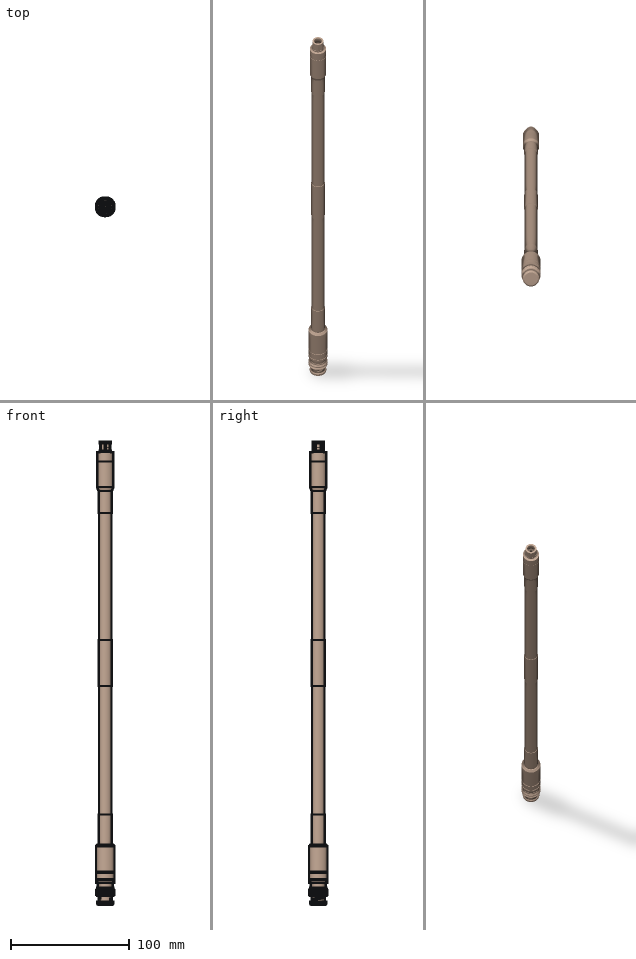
import cadquery as cq

overall_length = 390.76
tip_chamfer_top = 1.1
plug_head_top = 3.0
neck_top = 7.65
flange_bottom = 8.8
lower_rim_top = 9.4
rim_groove_middle = 10.35
upper_rim_bottom = 11.5
upper_rim_top = 12.4
shoulder_bottom = 13.5
shoulder_top = 14.7
nut_bottom = 18.6
grip_ring_bottom = 20.6
grip_ring_top = 27.0
ring_groove_height = 1.2
nut_top = 50.9
lower_sleeve_top = 76.2
label_bottom = 184.6
label_top = 223.4
upper_sleeve_bottom = 330.6
grip_bottom = 349.3
grip_shoulder = 352.5
grip_step = 374.0
grip_top = 381.9
hex_flats_bottom = 383.1
hex_flats_top = 389.0

cable_radius = 5.3
sleeve_radius = 5.7
nut_radius = 8.0
nut_top_radius = 6.4
nut_groove_radius = 7.6
stem_radius = 6.5
shoulder_radius = 6.9
rim_groove_radius = 6.9
neck_radius = 5.7
plug_head_radius = 7.0
tip_radius = 5.8
grip_radius = 6.95
grip_nose_radius = 6.8
hex_end_radius = 4.65
hex_socket_radius = 3.2
hex_socket_bore_radius = 1.4

hex_flat_count = 6
hex_across_flats = 8.6
hex_socket_depth = 5.0
hex_socket_bore_depth = 7.0

slot_count = 2
slot_height = 1.2
slot_depth = 1.6
slot_middle = 5.6
slot_slope = 13.0

nut_shoulder = nut_top - (nut_radius - nut_top_radius)


def revolved(outline):
    """Turn a closed outline of (radius, height) points about Z."""
    return cq.Workplane("XZ").polyline(outline).close().revolve(360, (0, 0, 0), (0, 1, 0))


def cylinder(radius, bottom, top):
    return cq.Workplane("XY").workplane(offset=bottom).circle(radius).extrude(top - bottom)


def make_cable():
    return cylinder(cable_radius, nut_top, grip_bottom)


def make_sleeve(bottom, top):
    """Thin tube that fits closely around the cable."""
    return cylinder(sleeve_radius, bottom, top).cut(cylinder(cable_radius, bottom, top))


def bayonet_slot(angle):
    """Slanted cutter on the -X side of the neck, turned about Z by the angle."""
    length = 4 * neck_radius
    outward = neck_radius
    cutter = cq.Workplane("XY").box(outward, length, slot_height)
    cutter = cutter.rotate((0, 0, 0), (1, 0, 0), -slot_slope)
    cutter = cutter.translate((slot_depth - neck_radius - outward / 2, 0, slot_middle))
    limits = cylinder(nut_radius, plug_head_top, neck_top)
    return cutter.intersect(limits).rotate((0, 0, 0), (0, 0, 1), angle)


def make_lower_fitting():
    """Plug with head, neck, double rim and grooved nut."""
    fitting = revolved([
        (0, 0),
        (tip_radius, 0),
        (plug_head_radius, tip_chamfer_top),
        (plug_head_radius, plug_head_top),
        (neck_radius, plug_head_top),
        (neck_radius, neck_top),
        (shoulder_radius, neck_top),
        (nut_radius, flange_bottom),
        (nut_radius, lower_rim_top),
        (rim_groove_radius, rim_groove_middle),
        (nut_radius, upper_rim_bottom),
        (nut_radius, upper_rim_top),
        (shoulder_radius, shoulder_bottom),
        (shoulder_radius, shoulder_top),
        (stem_radius, shoulder_top),
        (stem_radius, nut_bottom),
        (nut_radius, nut_bottom),
        (nut_radius, nut_shoulder),
        (nut_top_radius, nut_top),
        (0, nut_top),
    ])
    for groove_bottom in (grip_ring_bottom, grip_ring_top):
        groove_top = groove_bottom + ring_groove_height
        groove = cylinder(2 * nut_radius, groove_bottom, groove_top)
        fitting = fitting.cut(groove.cut(cylinder(nut_groove_radius, groove_bottom, groove_top)))
    for slot in range(slot_count):
        fitting = fitting.cut(bayonet_slot(slot * 360 / slot_count))
    return fitting


def make_hex_end():
    """Round stub with six flats between its end rims and a stepped socket in its top."""
    stub = cylinder(hex_end_radius, grip_top, overall_length)
    flats = cq.Workplane("XY").workplane(offset=hex_flats_bottom)
    flats = flats.polygon(hex_flat_count, hex_across_flats, circumscribed=True)
    flats = flats.extrude(hex_flats_top - hex_flats_bottom)
    around_flats = cylinder(2 * hex_end_radius, hex_flats_bottom, hex_flats_top).cut(flats)
    socket = cylinder(hex_socket_radius, overall_length - hex_socket_depth, overall_length)
    bore = cylinder(hex_socket_bore_radius, overall_length - hex_socket_bore_depth, overall_length)
    return stub.cut(around_flats).cut(socket).cut(bore)


def make_upper_fitting():
    """Round grip with a slightly slimmer nose that carries the hexagonal end."""
    grip = revolved([
        (0, grip_bottom),
        (sleeve_radius, grip_bottom),
        (grip_radius, grip_shoulder),
        (grip_radius, grip_step),
        (grip_nose_radius, grip_step),
        (grip_nose_radius, grip_top),
        (0, grip_top),
    ])
    return grip.union(make_hex_end())


cable = make_cable()
lower_fitting = make_lower_fitting()
upper_fitting = make_upper_fitting()
sleeve_spans = [
    (nut_top, lower_sleeve_top),
    (label_bottom, label_top),
    (upper_sleeve_bottom, grip_bottom),
]
sleeves = [make_sleeve(bottom, top).val() for bottom, top in sleeve_spans]

result = cq.Compound.makeCompound([
    lower_fitting.val(),
    cable.val(),
    *sleeves,
    upper_fitting.val(),
])